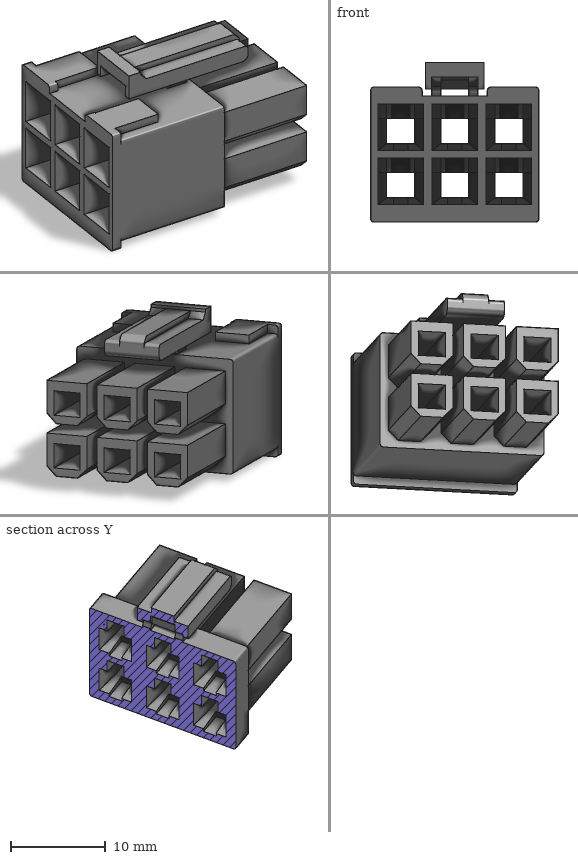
import cadquery as cq
import math

WIDTH = 17.75
FLANGE_TOP = 14.28
FLANGE_DEPTH = 1.05
BODY_BOTTOM = 0.9
BODY_TOP = 13.33
BODY_BACK = 14.0
LENGTH = 24.92
EDGE_RADIUS = 0.37

NOTCH_WIDTH = 6.85
NOTCH_RADIUS = 0.45

PAD_INNER = NOTCH_WIDTH / 2 + NOTCH_RADIUS
PAD_OUTER = 7.7
PAD_BACK = 6.45

COLUMNS = 3
ROWS = 2
PITCH = 5.7
CELL_WIDTH = 4.78
CELL_HEIGHT = 4.88
CELL_BOTTOM = 1.87

FUNNEL_LENGTH = 5.38
FUNNEL_START = BODY_BACK - FUNNEL_LENGTH
SHOULDER = BODY_BACK - FUNNEL_LENGTH / 2
HOLE_WIDTH = 2.95
FLOOR_RISE = 0.72
CEILING_DROP = 1.52
KEYWAY_WIDTH = 1.5
RAMP_FRONT_WIDTH = 1.95
RAMP_BACK_WIDTH = 1.7

PRONG_WIDTH = 4.54
PRONG_HEIGHT = 4.6
PRONG_BOTTOM = 1.7
PRONG_CHAMFER = 1.07

LATCH_WIDTH = 6.18
LATCH_FRONT = 5.75
LATCH_BACK = 20.7
LATCH_BOTTOM = 14.05
LATCH_TOP = 16.87
LATCH_RADIUS = 0.72
HEAD_BACK = 7.25
RIB_WIDTH = 2.8
RIB_TOP = 16.55
RIB_CHAMFER = 0.65
RIB_CHAMFER_BLEND = 0.6
SHELF_TOP = 15.85
SHELF_RADIUS = 0.45

CHANNEL_WIDTH = 4.85
CHANNEL_TOP = 15.33
CHANNEL_SLOPE = math.radians(9.9)
MIDDLE_WIDTH = 2.92
LEG_FOOT_FRONT = 11.05
LEG_FOOT_BACK = 13.45
LEG_FRONT = 11.5
LEG_BACK = 13.0
LEG_FRONT_RADIUS = 0.8
LEG_BEND_RADIUS = 0.22
MIDDLE_FRONT = LEG_FRONT
MIDDLE_LEAN = 0.1
MIDDLE_TOP = 15.03


def box(x_range, y_range, z_range):
    """Box between (start, end) limits along each axis."""
    size = [end - start for start, end in (x_range, y_range, z_range)]
    corner = (x_range[0], y_range[0], z_range[0])
    return cq.Workplane("XY").box(*size, centered=False).translate(corner)


def centered_box(width, y_range, z_range):
    """Box centred on the YZ plane."""
    return box((-width / 2, width / 2), y_range, z_range)


def extrude_side_profile(profile, width, x=0):
    """Give a profile in the YZ plane a width along X, centred on x."""
    return profile.close().extrude(width / 2, both=True).translate((x, 0, 0))


def side_profile(y, z):
    return cq.Workplane("YZ").moveTo(y, z)


def tapered_block(front, back, y_range):
    """Loft between two (width, bottom, top) rectangles that face along Y."""
    def outline(y, size):
        width, bottom, top = size
        corners = [
            cq.Vector(-width / 2, y, bottom),
            cq.Vector(width / 2, y, bottom),
            cq.Vector(width / 2, y, top),
            cq.Vector(-width / 2, y, top),
        ]
        return cq.Wire.makePolygon(corners, close=True)

    wires = [outline(y_range[0], front), outline(y_range[1], back)]
    return cq.Workplane(cq.Solid.makeLoft(wires, True))


def make_housing():
    """Solid body with the notched front flange and the two pads on top."""
    flange = centered_box(WIDTH, (0, FLANGE_DEPTH), (0, FLANGE_TOP)).edges("|Y").fillet(EDGE_RADIUS)
    notch = centered_box(NOTCH_WIDTH, (0, FLANGE_DEPTH), (BODY_TOP, FLANGE_TOP))
    flange = flange.cut(notch)
    rim = cq.selectors.BoxSelector(
        (-PAD_INNER, 0, FLANGE_TOP - NOTCH_RADIUS),
        (PAD_INNER, FLANGE_DEPTH, FLANGE_TOP + NOTCH_RADIUS),
    )
    flange = flange.edges("|Y").edges(rim).fillet(NOTCH_RADIUS)

    body = centered_box(WIDTH, (0, BODY_BACK), (BODY_BOTTOM, BODY_TOP)).edges("|Y").fillet(EDGE_RADIUS)
    housing = body.union(flange)
    for side in (-1, 1):
        x_range = sorted((side * PAD_INNER, side * PAD_OUTER))
        housing = housing.union(box(x_range, (0, PAD_BACK), (BODY_BOTTOM + EDGE_RADIUS, FLANGE_TOP)))
    return housing


def make_prong():
    """Rear prong of the lowest row, with its lower edges chamfered."""
    prong = centered_box(
        PRONG_WIDTH, (BODY_BACK - FLANGE_DEPTH, LENGTH), (PRONG_BOTTOM, PRONG_BOTTOM + PRONG_HEIGHT)
    )
    return prong.edges("|Y and <Z").chamfer(PRONG_CHAMFER)


def make_cell():
    """Void of one cell: square pocket, stepped funnel and through hole."""
    cell_top = CELL_BOTTOM + CELL_HEIGHT
    hole_bottom = CELL_BOTTOM + FLOOR_RISE
    hole_top = cell_top - CEILING_DROP
    pocket = centered_box(CELL_WIDTH, (0, FUNNEL_START), (CELL_BOTTOM, cell_top))
    lower_funnel = tapered_block(
        (CELL_WIDTH, CELL_BOTTOM, hole_top), (HOLE_WIDTH, hole_bottom, hole_top), (FUNNEL_START, BODY_BACK)
    )
    upper_funnel = tapered_block(
        (CELL_WIDTH, hole_bottom, cell_top), (HOLE_WIDTH, hole_bottom, cell_top), (FUNNEL_START, SHOULDER)
    )
    ramp = tapered_block(
        (RAMP_FRONT_WIDTH, hole_bottom, cell_top), (RAMP_BACK_WIDTH, hole_bottom, hole_top), (SHOULDER, BODY_BACK)
    )
    keyway = centered_box(KEYWAY_WIDTH, (FUNNEL_START, BODY_BACK), (CELL_BOTTOM, hole_top))
    hole = centered_box(HOLE_WIDTH, (BODY_BACK, LENGTH), (hole_bottom, hole_top))
    return pocket.union(lower_funnel).union(upper_funnel).union(ramp).union(keyway).union(hole)


def make_arm(width, top):
    """Plain latch bar with its lower rear edge rounded."""
    arm = centered_box(width, (LATCH_FRONT, LATCH_BACK), (LATCH_BOTTOM, top))
    return arm.edges("|X and >Y and <Z").fillet(LATCH_RADIUS)


def make_shelf():
    """Full-width lower part of the arm."""
    return make_arm(LATCH_WIDTH, SHELF_TOP).edges("|X").edges(">Z").edges(">Y").fillet(SHELF_RADIUS)


def make_rib():
    """Taller middle of the arm, with a blended chamfer at its upper rear edge."""
    rib = make_arm(RIB_WIDTH, RIB_TOP)
    rib = rib.edges("|X").edges(">Z").edges(">Y").chamfer(RIB_CHAMFER)
    return rib.faces(">(0, 1, 1)").edges("|X").fillet(RIB_CHAMFER_BLEND)


def make_channel():
    """Void under the arm: its roof slopes down to the legs and is deeper in the middle."""
    roof_drop = (LEG_FRONT - LATCH_FRONT) * math.tan(CHANNEL_SLOPE)
    roof_end = CHANNEL_TOP - roof_drop
    profile = (
        side_profile(LATCH_FRONT, LATCH_BOTTOM)
        .lineTo(LATCH_FRONT, CHANNEL_TOP)
        .lineTo(LEG_FRONT, roof_end)
        .lineTo(LEG_FRONT, LATCH_BOTTOM)
    )
    channel = extrude_side_profile(profile, CHANNEL_WIDTH)
    channel = channel.edges("|X").edges(">Y").edges(">Z").fillet(LEG_BEND_RADIUS)
    middle_profile = (
        side_profile(LATCH_FRONT, LATCH_BOTTOM)
        .lineTo(LATCH_FRONT, CHANNEL_TOP)
        .lineTo(MIDDLE_FRONT, CHANNEL_TOP)
        .lineTo(MIDDLE_FRONT + MIDDLE_LEAN, MIDDLE_TOP)
        .lineTo(MIDDLE_FRONT + MIDDLE_LEAN, LATCH_BOTTOM)
    )
    middle = extrude_side_profile(middle_profile, MIDDLE_WIDTH)
    return channel.union(middle)


def make_leg(x):
    """One leg with a concave front, from the body up into the arm."""
    profile = (
        side_profile(LEG_FRONT, LATCH_BOTTOM)
        .radiusArc((LEG_FOOT_FRONT, BODY_TOP), LEG_FRONT_RADIUS)
        .lineTo(LEG_FOOT_BACK, BODY_TOP)
        .lineTo(LEG_BACK, LATCH_BOTTOM)
    )
    return extrude_side_profile(profile, (CHANNEL_WIDTH - MIDDLE_WIDTH) / 2, x)


def make_latch():
    """Arm with its raised head, hollow underside and two legs."""
    ramp_back = HEAD_BACK + RIB_TOP - SHELF_TOP
    head_profile = (
        side_profile(LATCH_FRONT, LATCH_BOTTOM)
        .lineTo(LATCH_FRONT, LATCH_TOP)
        .lineTo(HEAD_BACK, LATCH_TOP)
        .lineTo(HEAD_BACK, RIB_TOP)
        .lineTo(ramp_back, SHELF_TOP)
        .lineTo(ramp_back, LATCH_BOTTOM)
    )
    latch = extrude_side_profile(head_profile, LATCH_WIDTH)
    latch = latch.union(make_shelf())
    latch = latch.union(make_rib())
    latch = latch.cut(make_channel())
    leg_x = (CHANNEL_WIDTH + MIDDLE_WIDTH) / 4
    for side in (-1, 1):
        latch = latch.union(make_leg(side * leg_x))
    return latch


result = make_housing()
cell_offsets = [
    ((column - (COLUMNS - 1) / 2) * PITCH, 0, row * PITCH)
    for column in range(COLUMNS)
    for row in range(ROWS)
]
for offset in cell_offsets:
    result = result.union(make_prong().translate(offset))
for offset in cell_offsets:
    result = result.cut(make_cell().translate(offset))
result = result.union(make_latch())